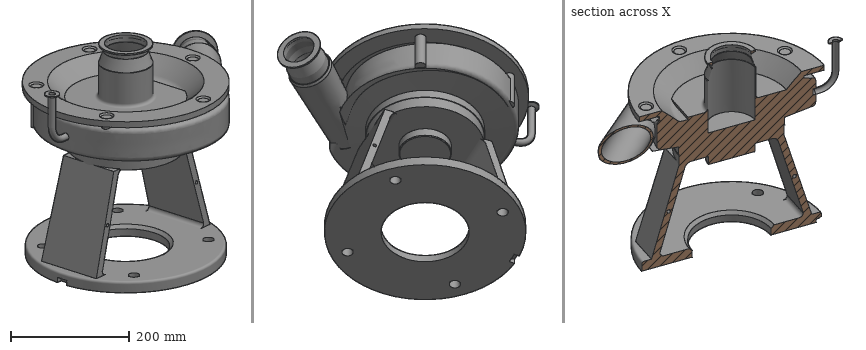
import cadquery as cq
import math

base_radius = 170.5
base_height = 20.0
base_edge_round = 4.5
base_bore_radius = 74.5
base_bore_chamfer = 6.0
anchor_hole_radius = 9.5
anchor_circle_radius = 140.5
notch_width = 20.0
notch_depth = 10.0
notch_back_height = 6.0
notch_front_height = 9.5

leg_top_width = 110.0
leg_foot_width = 120.0
leg_thickness = 14.5
leg_foot_spread = 152.0
leg_fillet = 7.5
leg_sink = 2.5
leg_hole_radius = 3.0
leg_hole_height = 107.0

hub_radius = 100.0
hub_bottom = 196.0
hub_step_height = 216.5
hub_step_radius = 101.0
boss_radius = 44.5
boss_bottom = 179.5
boss_chamfer = 1.5

casing_bottom = 238.0
casing_top = 297.5
casing_edge_round = 8.0
casing_corner_round = 10.0
casing_outline = [(90, 142.0), (135, 149.5), (180, 156.0), (225, 158.0),
                  (270, 160.0), (315, 167.0), (360, 173.5), (405, 173.5)]
casing_floor_inner = 232.0
casing_roof_inner = 301.5
casing_slope_radius = 150.0

cover_radius = 175.05
cover_bottom = 305.5
cover_top = 316.5
neck_radius = 137.5
dish_rim_radius = 132.5
dish_rim_chamfer = 3.0
dish_floor_radius = 103.5
dish_round = 15.5
dish_flat_height = 288.0
dish_flat_edge = 83.0

post_count = 5
post_first_angle = 9.0
post_circle_radius = 152.0
post_radius = 9.5
post_bottom = 240.5
post_recess_radius = 12.5
post_recess_depth = 2.5

inlet_radius = 46.2
inlet_base_fillet = 6.0
inlet_straight_top = 351.0
inlet_neck_radius = 38.0
inlet_neck_bottom = 373.0
inlet_flange_radius = 45.7
inlet_top = 386.5
inlet_wall = 2.0
inlet_bore_bottom = 244.5

outlet_angle = 45.0
outlet_offset = 140.6
outlet_height = 267.5
outlet_root_radius = 31.7
outlet_end_radius = 39.0
outlet_end = 176.0
outlet_end_round = 2.0
outlet_lip_end = 181.0
reducer_radius = 35.5
reducer_start = 197.0
outlet_neck_radius = 29.5
outlet_neck_start = 217.0
outlet_flange_radius = 38.7
outlet_top = 230.0
outlet_wall = 2.0

flange_rim = 3.0
flange_taper = 3.0

drain_radius = 6.5
drain_bore_radius = 5.5
drain_reach = 197.0
drain_height = 267.5
drain_bend = 30.0
drain_start = 155.0
drain_top = 358.5
drain_flange_radius = 13.0
drain_flange_rim = 2.0


def disc(radius, bottom, top):
    return cq.Workplane("XY").workplane(offset=bottom).circle(radius).extrude(top - bottom)


def frustum(bottom_radius, bottom, top_radius, top):
    outline = [(0, bottom), (bottom_radius, bottom), (top_radius, top), (0, top)]
    return turned(outline)


def turned(outline, plane="XZ"):
    """Revolve a (radius, height) outline about the plane's local Y axis."""
    return cq.Workplane(plane).polyline(outline).close().revolve(360, (0, 0), (0, 1))


def at_polar(radius, angle):
    turn = math.radians(angle)
    return (radius * math.cos(turn), radius * math.sin(turn))


def make_base():
    ring = disc(base_radius, 0, base_height).faces(">Z").edges().fillet(base_edge_round)
    ring = ring.cut(disc(base_bore_radius, 0, base_height))
    ring = ring.cut(frustum(base_bore_radius, base_height - base_bore_chamfer,
                            base_bore_radius + base_bore_chamfer, base_height))
    anchors = (cq.Workplane("XY").polarArray(anchor_circle_radius, 45, 360, 4)
               .circle(anchor_hole_radius).extrude(base_height))
    back = notch_depth - base_radius
    notch = (cq.Workplane("YZ")
             .polyline([(back, 0), (back, notch_back_height),
                        (-base_radius, notch_front_height), (-base_radius, 0)])
             .close().extrude(notch_width / 2, both=True))
    return ring.cut(anchors).cut(notch)


def make_leg():
    """Leg on the +Y side: a leaning plate that widens toward its foot."""
    lean = (leg_foot_spread - hub_radius) / (hub_bottom - base_height)
    low = base_height - leg_sink
    high = hub_bottom + leg_sink
    foot = leg_foot_spread + lean * leg_sink
    head = hub_radius - lean * leg_sink
    drop = lean * leg_fillet
    inner_foot = leg_foot_spread - leg_thickness
    inner_head = hub_radius - leg_thickness
    sag = leg_fillet * (1 - math.sqrt(0.5))
    side = (cq.Workplane("YZ").moveTo(foot, low).lineTo(head, high)
            .lineTo(inner_head - leg_fillet, high)
            .lineTo(inner_head - leg_fillet, hub_bottom)
            .threePointArc((inner_head - sag, hub_bottom - sag),
                           (inner_head + drop, hub_bottom - leg_fillet))
            .lineTo(inner_foot - drop, base_height + leg_fillet)
            .threePointArc((inner_foot - drop - sag, base_height + sag),
                           (inner_foot - drop - leg_fillet, base_height))
            .lineTo(inner_foot - drop - leg_fillet, low)
            .close().extrude(leg_foot_width, both=True))
    front = (cq.Workplane("XZ")
             .polyline([(-leg_foot_width / 2, low), (leg_foot_width / 2, low),
                        (leg_top_width / 2, high), (-leg_top_width / 2, high)])
             .close().extrude(-base_radius))
    hole_y = leg_foot_spread - lean * (leg_hole_height - base_height) - leg_thickness / 2
    hole = (cq.Workplane("YZ").center(hole_y, leg_hole_height)
            .circle(leg_hole_radius).extrude(leg_foot_width, both=True))
    return side.intersect(front).cut(hole)


def make_hub():
    hub = disc(hub_radius, hub_bottom, hub_step_height)
    hub = hub.union(disc(hub_step_radius, hub_step_height, casing_bottom))
    boss = disc(boss_radius, boss_bottom, hub_bottom).faces("<Z").edges().chamfer(boss_chamfer)
    return hub.union(boss)


def make_casing():
    points = [at_polar(radius, angle) for angle, radius in casing_outline]
    casing = (cq.Workplane("XY").workplane(offset=casing_bottom)
              .spline(points).close().extrude(casing_top - casing_bottom)
              .edges("|Z").fillet(casing_corner_round)
              .faces("<Z or >Z").edges().fillet(casing_edge_round))
    floor = frustum(hub_step_radius, casing_floor_inner, casing_slope_radius, casing_bottom)
    roof = frustum(casing_slope_radius, casing_top, neck_radius, casing_roof_inner)
    return casing.union(floor).union(roof)


def make_dish_cavity():
    """Conical dish with a rounded floor; the floor is raised to a flat short of its +Y end."""
    diagonal = math.sqrt(0.5)
    round_start = dish_floor_radius - dish_round * diagonal
    floor = dish_flat_height - dish_round * (1 - diagonal)
    mid_turn = math.radians(22.5)
    round_middle = (round_start + dish_round * math.sin(mid_turn),
                    floor + dish_round * (1 - math.cos(mid_turn)))
    cone_top = cover_top - dish_rim_chamfer
    cone_top_radius = dish_rim_radius - dish_rim_chamfer
    cavity = (cq.Workplane("XZ").moveTo(0, floor).lineTo(round_start, floor)
              .threePointArc(round_middle, (dish_floor_radius, dish_flat_height))
              .lineTo(cone_top_radius, cone_top)
              .lineTo(dish_rim_radius, cover_top)
              .lineTo(0, cover_top).close().revolve(360, (0, 0), (0, 1)))
    flat = (cq.Workplane("XY").workplane(offset=floor)
            .center(0, dish_flat_edge - cover_radius)
            .rect(2 * cover_radius, 2 * cover_radius)
            .extrude(dish_flat_height - floor))
    return cavity.cut(flat)


def make_posts():
    return (cq.Workplane("XY").workplane(offset=post_bottom)
            .polarArray(post_circle_radius, post_first_angle, 360, post_count)
            .circle(post_radius).extrude(cover_bottom - post_bottom))


def make_post_recesses():
    slope = post_recess_radius - post_radius
    recess = frustum(post_radius, cover_top - post_recess_depth,
                     post_radius + slope, cover_top)
    recesses = cq.Workplane("XY")
    for index in range(post_count):
        x, y = at_polar(post_circle_radius, post_first_angle + index * 360 / post_count)
        recesses = recesses.union(recess.translate((x, y, 0)))
    return recesses


def make_inlet():
    foot = dish_flat_height
    blend = inlet_base_fillet
    cut_in = blend * (1 - math.sqrt(0.5))
    return (cq.Workplane("XZ").moveTo(0, foot)
            .lineTo(inlet_radius + blend, foot)
            .threePointArc((inlet_radius + cut_in, foot + cut_in), (inlet_radius, foot + blend))
            .lineTo(inlet_radius, inlet_straight_top)
            .lineTo(inlet_neck_radius, inlet_neck_bottom)
            .lineTo(inlet_neck_radius, inlet_top - flange_rim - flange_taper)
            .lineTo(inlet_flange_radius, inlet_top - flange_rim)
            .lineTo(inlet_flange_radius, inlet_top)
            .lineTo(0, inlet_top).close().revolve(360, (0, 0), (0, 1)))


def make_inlet_bore():
    return turned([(0, inlet_bore_bottom),
                   (inlet_radius - inlet_wall, inlet_bore_bottom),
                   (inlet_radius - inlet_wall, inlet_straight_top),
                   (inlet_neck_radius - inlet_wall, inlet_neck_bottom),
                   (inlet_neck_radius - inlet_wall, inlet_top),
                   (0, inlet_top)])


outlet_foot = at_polar(outlet_offset, outlet_angle)
outlet_plane = cq.Plane(origin=(*outlet_foot, outlet_height),
                        xDir=(*at_polar(1, outlet_angle), 0), normal=(0, 0, 1))


def make_outlet():
    return turned([(0, 0), (outlet_root_radius, 0),
                   (outlet_end_radius, outlet_end),
                   (outlet_end_radius - outlet_end_round, outlet_lip_end),
                   (reducer_radius, outlet_lip_end),
                   (reducer_radius, reducer_start),
                   (outlet_neck_radius, outlet_neck_start),
                   (outlet_neck_radius, outlet_top - flange_rim - flange_taper),
                   (outlet_flange_radius, outlet_top - flange_rim),
                   (outlet_flange_radius, outlet_top),
                   (0, outlet_top)], outlet_plane)


def make_outlet_bore():
    return turned([(0, 0), (outlet_root_radius - outlet_wall, 0),
                   (reducer_radius - outlet_wall, outlet_end),
                   (reducer_radius - outlet_wall, reducer_start),
                   (outlet_neck_radius - outlet_wall, outlet_neck_start),
                   (outlet_neck_radius - outlet_wall, outlet_top),
                   (0, outlet_top)], outlet_plane)


def drain_tube(radius):
    bend_side = drain_bend * math.sqrt(0.5)
    bend_y = drain_bend - drain_reach
    bend_z = drain_height + drain_bend
    path = (cq.Workplane("YZ").moveTo(-drain_start, drain_height)
            .lineTo(bend_y, drain_height)
            .threePointArc((bend_y - bend_side, bend_z - bend_side), (-drain_reach, bend_z))
            .lineTo(-drain_reach, drain_top))
    return (cq.Workplane("XZ", origin=(0, -drain_start, drain_height))
            .circle(radius).sweep(path))


def make_drain():
    rim_bottom = drain_top - drain_flange_rim
    flange = disc(drain_flange_radius, rim_bottom, drain_top)
    flange = flange.union(frustum(drain_radius, rim_bottom - flange_taper,
                                  drain_flange_radius, rim_bottom))
    return drain_tube(drain_radius).union(flange.translate((0, -drain_reach, 0)))


leg = make_leg()
result = make_hub().union(make_casing())
result = result.union(disc(neck_radius, casing_top, cover_bottom))
result = result.union(disc(cover_radius, cover_bottom, cover_top))
result = result.union(make_posts()).union(make_outlet()).union(make_drain())
result = result.cut(make_dish_cavity()).cut(make_post_recesses())
result = result.union(make_inlet())
result = result.cut(make_inlet_bore()).cut(make_outlet_bore()).cut(drain_tube(drain_bore_radius))
result = result.union(make_base()).union(leg).union(leg.mirror("XZ"))